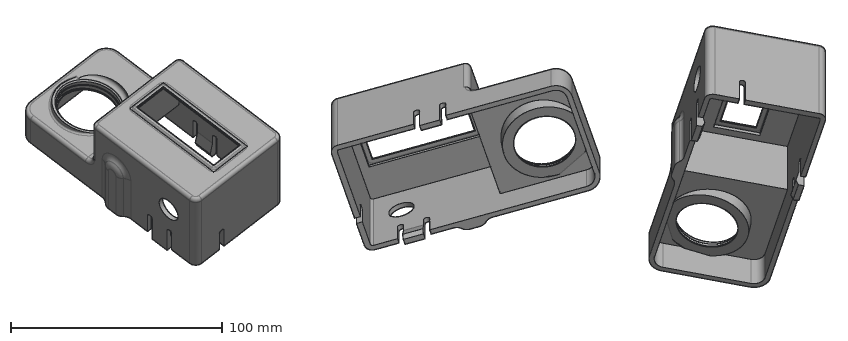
import cadquery as cq
import math

LENGTH = 118.0
WIDTH = 59.0
TALL_HEIGHT = 48.0
LOW_HEIGHT = 18.5
STEP_X = 48.5
WALL = 2.5
END_WALL = 3.0
TOP_WALL = 2.0

LOW_CORNER_RADIUS = 8.0
TALL_CORNER_RADIUS = 4.0
STEP_CORNER_RADIUS = 2.8
STEP_FILLET = 4.0
INNER_CORNER_RADIUS = 1.2
TOP_FILLET = 2.0
CORNER_BLEND = 0.6

WINDOW_LENGTH = 51.2
WINDOW_WIDTH = 17.8
WINDOW_X = 82.7
WINDOW_Y = 1.3
RIM_HEIGHT = 1.0
RIM_SLOPE = math.radians(28)
RIM_CREST_RADIUS = 3.2
RIM_FOOT_RADIUS = 2.5
WINDOW_LIP = 1.2
WINDOW_DRAFT = 0.4
WINDOW_POCKET_MARGIN = 2.4

SOCKET_X = 22.0
SOCKET_Y = -5.0
SOCKET_TILT = 10.0
SOCKET_TILT_AXIS = -27.0
SOCKET_SHIFT = 0.6
BOSS_RADIUS = 17.9
BOSS_FOOT_FILLET = 1.1
SEAT_RADIUS = 16.8
SEAT_FILLET = 2.2
SEAT_CLEARANCE = 5.9
COLLAR_RADIUS = 20.4
COLLAR_DEPTH = 5.3
MOUTH_CHAMFER = 0.7
BORE_STEPS = ((15.8, 2.6), (15.2, 4.6))
LIP_RADIUS = 14.6

PAD_X = 65.3
ARCH_Z = 27.8
PAD_TOP_RADIUS = 2.5
PAD_FLANK_RADIUS = 5.0
PAD_DEPTH = 3.0

SIDE_HOLE_X = 100.0
SIDE_HOLE_RADIUS = 6.3

TAB_WIDTH = 10.0
TAB_DROP = 3.0
TAB_ROOT_THICKNESS = 4.0
TAB_TIP_THICKNESS = 2.8
FRONT_TAB_X = 93.9
BACK_TAB_X = 68.2
SLOT_HEIGHT = 13.1
SLOT_WIDTH = 3.0

END_SLOT_Y = -11.9


def block(x_start, x_end, width, height):
    """Box standing on Z = 0 and centred on Y = 0."""
    length = x_end - x_start
    box = cq.Workplane("XY").box(length, width, height, centered=(False, True, False))
    return box.translate((x_start, 0, 0))


def spandrel(workplane, side, radius):
    """Outline between a square step corner and its rounding, on the +Y or -Y side."""
    corner_y = side * WIDTH / 2
    inset = radius * (1 - math.sqrt(0.5))
    return (
        workplane.moveTo(STEP_X, corner_y)
        .lineTo(STEP_X + radius, corner_y)
        .threePointArc((STEP_X + inset, corner_y - side * inset), (STEP_X, corner_y - side * radius))
        .close()
    )


def step_corner_cutter(side):
    """Widens the step's vertical rounding from TOP_FILLET to STEP_CORNER_RADIUS above the step fillet."""
    blend_start = LOW_HEIGHT + STEP_FILLET
    blend_end = blend_start + CORNER_BLEND
    base = spandrel(cq.Workplane("XY", origin=(0, 0, blend_start)), side, TOP_FILLET)
    blend = spandrel(base.workplane(offset=CORNER_BLEND), side, STEP_CORNER_RADIUS).loft(ruled=True)
    upper = spandrel(cq.Workplane("XY", origin=(0, 0, blend_end)), side, STEP_CORNER_RADIUS)
    return blend.union(upper.extrude(TALL_HEIGHT - blend_end))


def make_outside():
    low = block(0, STEP_X + WIDTH / 2, WIDTH, LOW_HEIGHT)
    low = low.edges("|Z and <X").fillet(LOW_CORNER_RADIUS)
    tall = block(STEP_X, LENGTH, WIDTH, TALL_HEIGHT)
    tall = tall.edges("|Z and >X").fillet(TALL_CORNER_RADIUS)
    body = low.union(tall).clean()
    body = body.edges(cq.NearestToPointSelector((STEP_X, 0, LOW_HEIGHT))).fillet(STEP_FILLET)
    body = body.faces("<X").edges(">Z").fillet(TOP_FILLET)
    for side in (-1, 1):
        body = body.cut(step_corner_cutter(side))
    return body.faces(">Z").edges().fillet(TOP_FILLET)


def make_cavity():
    low = block(WALL, STEP_X + WIDTH / 2, WIDTH - 2 * WALL, LOW_HEIGHT - TOP_WALL)
    low = low.edges("|Z and <X").fillet(LOW_CORNER_RADIUS - WALL)
    tall = block(STEP_X + WALL, LENGTH - END_WALL, WIDTH - 2 * WALL, TALL_HEIGHT - TOP_WALL)
    tall = tall.edges("|Z and >X").fillet(INNER_CORNER_RADIUS)
    return low.union(tall)


def make_window_rim():
    """Sweeps the rim profile (crest arc, straight flank, foot arc) around the window."""
    sin_slope = math.sin(RIM_SLOPE)
    drop = 1 - math.cos(RIM_SLOPE)
    crest_end = (RIM_CREST_RADIUS * sin_slope, RIM_HEIGHT - RIM_CREST_RADIUS * drop)
    foot_height = RIM_FOOT_RADIUS * drop
    flank_run = (crest_end[1] - foot_height) / math.tan(RIM_SLOPE)
    foot_start = (crest_end[0] + flank_run, foot_height)
    foot_end = (foot_start[0] + RIM_FOOT_RADIUS * sin_slope, 0)
    corner_x = WINDOW_X - WINDOW_LENGTH / 2
    profile = (
        cq.Workplane("XZ", origin=(corner_x, WINDOW_Y, TALL_HEIGHT))
        .moveTo(0, -TOP_WALL / 2)
        .lineTo(0, RIM_HEIGHT)
        .radiusArc((-crest_end[0], crest_end[1]), -RIM_CREST_RADIUS)
        .lineTo(-foot_start[0], foot_start[1])
        .radiusArc((-foot_end[0], foot_end[1]), RIM_FOOT_RADIUS)
        .lineTo(-foot_end[0], -TOP_WALL / 2)
        .close()
    )
    half_width = WINDOW_WIDTH / 2
    path = (
        cq.Workplane("XY", origin=(corner_x, WINDOW_Y, TALL_HEIGHT))
        .moveTo(0, 0)
        .lineTo(0, half_width)
        .lineTo(WINDOW_LENGTH, half_width)
        .lineTo(WINDOW_LENGTH, -half_width)
        .lineTo(0, -half_width)
        .close()
    )
    return profile.sweep(path, transition="round")


def make_window_opening():
    """Drafted opening through the thin lip, with a wider pocket under it."""
    lip_bottom = TALL_HEIGHT + RIM_HEIGHT - WINDOW_LIP
    base = cq.Workplane("XY", origin=(WINDOW_X, WINDOW_Y, lip_bottom))
    opening = (
        base.rect(WINDOW_LENGTH - 2 * WINDOW_DRAFT, WINDOW_WIDTH - 2 * WINDOW_DRAFT)
        .workplane(offset=WINDOW_LIP)
        .rect(WINDOW_LENGTH, WINDOW_WIDTH)
        .loft(ruled=True)
    )
    pocket = base.rect(WINDOW_LENGTH + 2 * WINDOW_POCKET_MARGIN, WINDOW_WIDTH + 2 * WINDOW_POCKET_MARGIN)
    return opening.union(pocket.extrude(-2 * TOP_WALL))


def tilt_plane():
    """Plane of the socket's seat; its normal leans toward +X +Y."""
    axis_angle = math.radians(SOCKET_TILT_AXIS)
    lean_angle = axis_angle + math.pi / 2
    lean = math.radians(SOCKET_TILT)
    lean_x = math.cos(lean_angle)
    lean_y = math.sin(lean_angle)
    return cq.Plane(
        origin=(SOCKET_X + SOCKET_SHIFT * lean_x, SOCKET_Y + SOCKET_SHIFT * lean_y, LOW_HEIGHT),
        xDir=(math.cos(axis_angle), math.sin(axis_angle), 0),
        normal=(math.sin(lean) * lean_x, math.sin(lean) * lean_y, math.cos(lean)),
    )


def add_socket(body):
    seat = cq.Workplane(tilt_plane())
    sunk_seat = seat.workplane(offset=-COLLAR_DEPTH)
    below_platform = block(0, STEP_X, WIDTH, LOW_HEIGHT - TOP_WALL / 2)
    above_platform = block(0, STEP_X, WIDTH, LOW_HEIGHT).translate((0, 0, LOW_HEIGHT))

    boss = sunk_seat.circle(BOSS_RADIUS).extrude(COLLAR_DEPTH + SEAT_CLEARANCE)
    body = body.union(boss)
    foot = cq.selectors.BoxSelector(
        (0, -WIDTH / 2, LOW_HEIGHT - 0.01), (STEP_X - STEP_FILLET, WIDTH / 2, LOW_HEIGHT + 0.01), True
    )
    body = body.edges(foot).edges("%ELLIPSE").fillet(BOSS_FOOT_FILLET)
    slice_tool = seat.circle(COLLAR_RADIUS).extrude(2 * SEAT_CLEARANCE)
    body = body.cut(slice_tool.intersect(above_platform))

    collar = sunk_seat.circle(COLLAR_RADIUS).extrude(COLLAR_DEPTH + SEAT_CLEARANCE)
    body = body.union(collar.intersect(below_platform))

    recess = seat.circle(SEAT_RADIUS + SEAT_FILLET).extrude(SEAT_CLEARANCE)
    recess = recess.faces("<Z").edges().fillet(SEAT_FILLET)
    body = body.cut(recess)
    for radius, depth in BORE_STEPS:
        body = body.cut(seat.circle(radius).extrude(-depth))
    mouth_radius = BORE_STEPS[0][0]
    mouth_top = seat.circle(mouth_radius + MOUTH_CHAMFER)
    mouth = mouth_top.workplane(offset=-MOUTH_CHAMFER).circle(mouth_radius).loft()
    lip = cq.Workplane("XY").center(SOCKET_X, SOCKET_Y).circle(LIP_RADIUS).extrude(TALL_HEIGHT)
    return body.cut(mouth).cut(lip)


def make_pad():
    """Half-round arch revolved about its own axis, carried straight down to Z = 0."""
    half_depth = PAD_DEPTH / 2
    half_run = math.sqrt(PAD_FLANK_RADIUS**2 - (PAD_FLANK_RADIUS - half_depth) ** 2)
    middle_radius = PAD_TOP_RADIUS + half_run
    foot_radius = middle_radius + half_run
    embed = WALL / 2

    section_plane = cq.Plane(origin=(PAD_X, -WIDTH / 2, ARCH_Z), xDir=(1, 0, 0), normal=(0, 0, -1))
    half_section = (
        cq.Workplane(section_plane)
        .moveTo(0, -embed)
        .lineTo(foot_radius, -embed)
        .lineTo(foot_radius, 0)
        .radiusArc((middle_radius, half_depth), PAD_FLANK_RADIUS)
        .radiusArc((PAD_TOP_RADIUS, PAD_DEPTH), -PAD_FLANK_RADIUS)
        .lineTo(0, PAD_DEPTH)
        .close()
    )
    half_leg = half_section.extrude(ARCH_Z)
    leg = half_leg.union(half_leg.mirror("YZ", (PAD_X, 0, 0)))
    arch = half_section.toPending().revolve(360, (0, 0), (0, 1))
    return leg.union(arch)


def make_side_hole():
    hole = cq.Workplane("XZ", origin=(SIDE_HOLE_X, -WIDTH / 2, ARCH_Z)).circle(SIDE_HOLE_RADIUS)
    return hole.extrude(-2 * WALL)


def make_slot():
    """Round-topped slot centred on the origin, cutting along Y and open at Z = 0."""
    straight = SLOT_HEIGHT - SLOT_WIDTH / 2
    outline = (
        cq.Workplane("XZ")
        .moveTo(-SLOT_WIDTH / 2, 0)
        .lineTo(-SLOT_WIDTH / 2, straight)
        .threePointArc((0, SLOT_HEIGHT), (SLOT_WIDTH / 2, straight))
        .lineTo(SLOT_WIDTH / 2, 0)
        .close()
    )
    return outline.extrude(2 * WALL, both=True)


def add_snap_tab(body, tab_x, side):
    """Tab flush with the long side, tapering to its tip, between two slots."""
    outer_y = side * WIDTH / 2
    slot_offset = (TAB_WIDTH + SLOT_WIDTH) / 2
    for direction in (-1, 1):
        body = body.cut(make_slot().translate((tab_x + direction * slot_offset, outer_y, 0)))
    tab = (
        cq.Workplane("YZ", origin=(tab_x, 0, 0))
        .moveTo(outer_y, SLOT_HEIGHT / 2)
        .lineTo(outer_y, -TAB_DROP)
        .lineTo(outer_y - side * TAB_TIP_THICKNESS, -TAB_DROP)
        .lineTo(outer_y - side * TAB_ROOT_THICKNESS, 0)
        .lineTo(outer_y - side * WALL, SLOT_HEIGHT / 2)
        .close()
        .extrude(TAB_WIDTH / 2, both=True)
    )
    return body.union(tab)


body = make_outside().cut(make_cavity())
body = body.union(make_window_rim()).cut(make_window_opening())
body = add_socket(body)
body = body.union(make_pad()).cut(make_side_hole())
body = add_snap_tab(body, FRONT_TAB_X, -1)
body = add_snap_tab(body, BACK_TAB_X, 1)
end_slot = make_slot().rotate((0, 0, 0), (0, 0, 1), 90).translate((LENGTH, END_SLOT_Y, 0))
result = body.cut(end_slot)